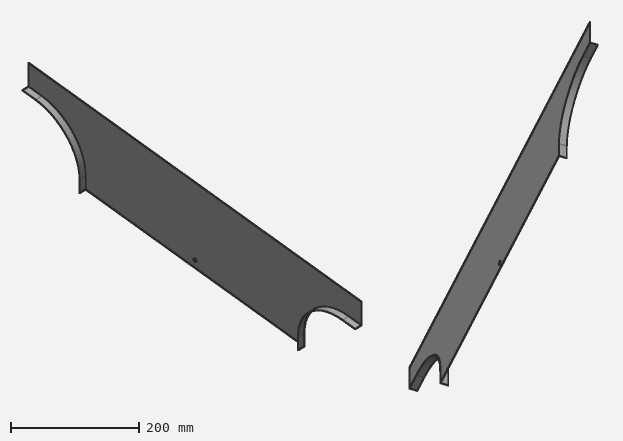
import cadquery as cq

length = 760.0
height = 180.0
depth = 14.0
sheet = 1.0
corner_radius = 100.0
straight_run = 30.0
hole_diameter = 7.0
hole_above_bottom = 16.0

half_length = length / 2
half_stem = half_length - straight_run - corner_radius
shoulder_z = straight_run + corner_radius
cut_reach = 7.5


def corner_cutout(offset):
    """Right-hand corner area, grown by offset towards the plate, over the full depth."""
    left = half_stem - offset
    top = shoulder_z + offset
    far = half_length + cut_reach
    bottom = -cut_reach
    arc_center_x = half_stem + corner_radius
    arc_center_z = straight_run
    radius = corner_radius + offset
    diagonal = radius * 0.5 ** 0.5
    return (
        cq.Workplane("XZ", origin=(0, depth, 0))
        .moveTo(left, bottom)
        .lineTo(left, arc_center_z)
        .threePointArc(
            (arc_center_x - diagonal, arc_center_z + diagonal),
            (arc_center_x, top),
        )
        .lineTo(far, top)
        .lineTo(far, bottom)
        .close()
        .extrude(depth)
    )


envelope = cq.Workplane("XY").box(length, depth, height, centered=(True, False, False))

plate = (
    cq.Workplane("XY", origin=(0, depth - sheet, 0))
    .box(length, sheet, height, centered=(True, False, False))
)

opening = corner_cutout(0)
flange = corner_cutout(sheet).cut(opening).intersect(envelope)

openings = opening.union(opening.mirror("YZ"))
flanges = flange.union(flange.mirror("YZ"))
result = plate.cut(openings).union(flanges)

hole = (
    cq.Workplane("XZ", origin=(0, depth, 0))
    .center(0, hole_above_bottom)
    .circle(hole_diameter / 2)
    .extrude(depth)
)
result = result.cut(hole)